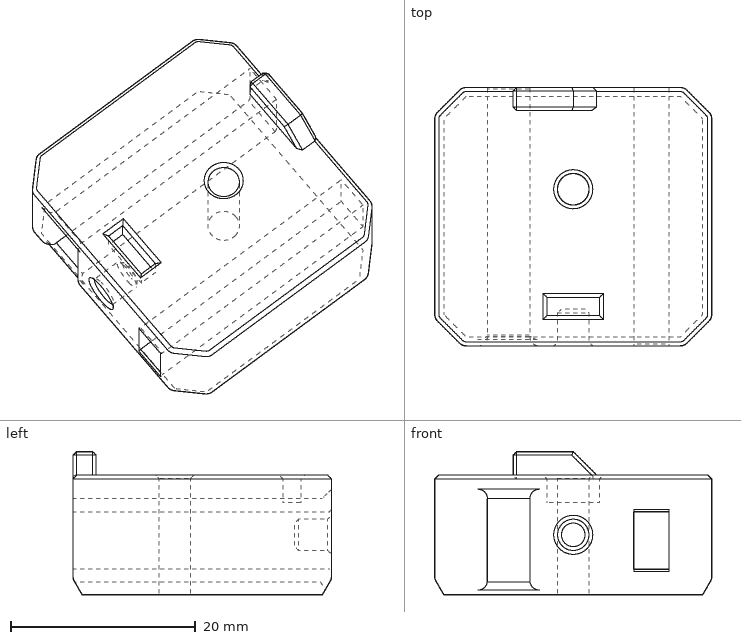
import cadquery as cq
import math

WIDTH = 30.0
DEPTH = 28.0
BODY_HEIGHT = 13.0
CORNER_CLIP = 3.0
ROUND_RADIUS = 1.02
TOP_CHAMFER = 0.45
BASE_INSET = 1.0
BASE_ANGLE = 60.0
BASE_CHAMFER_HEIGHT = BASE_INSET * math.tan(math.radians(BASE_ANGLE))
FRONT_Y = -DEPTH / 2
BACK_Y = DEPTH / 2

TOTAL_HEIGHT = 15.5
TAB_HEIGHT = TOTAL_HEIGHT - BODY_HEIGHT
TAB_LEFT_X = -6.5
TAB_RAMP_X = 0.0
TAB_THICKNESS = 2.52
TAB_CHAMFER = 0.4
TAB_ROOT = TOP_CHAMFER

WINDOW_X = -7.0
WINDOW_WIDTH = 4.6
WINDOW_Z = 5.9
WINDOW_HEIGHT = 9.0
WINDOW_FLARE = 1.02

SLOT_X = 8.45
SLOT_WIDTH = 3.78
SLOT_Z = 5.88
SLOT_HEIGHT = 6.18
SLOT_CHAMFER = 0.25

HOLE_DIAMETER = 3.4
HOLE_CHAMFER = 0.42
TOP_HOLE_Y = 2.97
FRONT_HOLE_Z = BODY_HEIGHT / 2
FRONT_HOLE_DEPTH = 4.0
POCKET_Y = -9.72
POCKET_LENGTH = 5.67
POCKET_WIDTH = 1.95
POCKET_DEPTH = 3.0
POCKET_CHAMFER = 0.45

SELECT_MARGIN = 0.05


def edges_in_box(body, center, size):
    """Edges of the body whose midpoints lie inside the given box."""
    low = [c - s / 2 for c, s in zip(center, size)]
    high = [c + s / 2 for c, s in zip(center, size)]
    return body.edges(cq.selectors.BoxSelector(low, high))


def make_body():
    """Rounded octagonal block, bevelled on top and steeply chamfered at the base."""
    body = (
        cq.Workplane("XY")
        .rect(WIDTH, DEPTH)
        .extrude(BODY_HEIGHT)
        .edges("|Z")
        .chamfer(CORNER_CLIP)
        .edges("|Z")
        .fillet(ROUND_RADIUS)
    )
    body = body.faces(">Z").chamfer(TOP_CHAMFER)
    body = body.faces("<Z").edges().chamfer(BASE_CHAMFER_HEIGHT, BASE_INSET)
    shoulder_center = (0, 0, BASE_CHAMFER_HEIGHT)
    return edges_in_box(body, shoulder_center, (2 * WIDTH, 2 * DEPTH, SELECT_MARGIN)).fillet(ROUND_RADIUS)


def make_tab():
    """Tab with a 45 degree ramp on its right, chamfered all round above its root."""
    root_z = BODY_HEIGHT - TAB_ROOT
    outline = [
        (TAB_LEFT_X, root_z),
        (TAB_LEFT_X, TOTAL_HEIGHT),
        (TAB_RAMP_X, TOTAL_HEIGHT),
        (TAB_RAMP_X + TAB_HEIGHT, BODY_HEIGHT),
        (TAB_RAMP_X + TAB_HEIGHT, root_z),
    ]
    tab = (
        cq.Workplane("XZ", origin=(0, BACK_Y, 0))
        .polyline(outline)
        .close()
        .extrude(TAB_THICKNESS)
    )
    side_rims = cq.StringSyntaxSelector("#Y exc <Z")
    top_left = cq.selectors.NearestToPointSelector((TAB_LEFT_X, BACK_Y - TAB_THICKNESS / 2, TOTAL_HEIGHT))
    return tab.edges(side_rims + top_left).chamfer(TAB_CHAMFER)


def cut_through_y(body, x, z, width, height):
    """Rectangular passage from the front face to the back face."""
    return body.cut(cq.Workplane("XY", origin=(x, 0, z)).box(width, 2 * DEPTH, height))


def cut_window(body):
    """Large window with a front mouth rounded at the sides and bevelled above and below."""
    body = cut_through_y(body, WINDOW_X, WINDOW_Z, WINDOW_WIDTH, WINDOW_HEIGHT)
    for side in (-1, 1):
        side_center = (WINDOW_X + side * WINDOW_WIDTH / 2, FRONT_Y, WINDOW_Z)
        side_rim = edges_in_box(body, side_center, (SELECT_MARGIN, BASE_INSET, WINDOW_HEIGHT))
        body = side_rim.fillet(WINDOW_FLARE)
    mouth_center = (WINDOW_X, FRONT_Y, WINDOW_Z)
    mouth_size = (WINDOW_WIDTH, BASE_INSET, WINDOW_HEIGHT + SELECT_MARGIN)
    return edges_in_box(body, mouth_center, mouth_size).edges("|X").chamfer(WINDOW_FLARE)


def cut_slot(body):
    """Small window with bevelled upper and lower front edges."""
    body = cut_through_y(body, SLOT_X, SLOT_Z, SLOT_WIDTH, SLOT_HEIGHT)
    rim_size = (SLOT_WIDTH, SELECT_MARGIN, SLOT_HEIGHT + SELECT_MARGIN)
    return edges_in_box(body, (SLOT_X, FRONT_Y, SLOT_Z), rim_size).edges("|X").chamfer(SLOT_CHAMFER)


def cut_top_hole(body):
    """Countersunk hole straight through the body from the top."""
    top = cq.Workplane("XY", origin=(0, TOP_HOLE_Y, BODY_HEIGHT))
    body = body.cut(top.circle(HOLE_DIAMETER / 2).extrude(-BODY_HEIGHT))
    rim_size = (2 * HOLE_DIAMETER, 2 * HOLE_DIAMETER, SELECT_MARGIN)
    return edges_in_box(body, (0, TOP_HOLE_Y, BODY_HEIGHT), rim_size).chamfer(HOLE_CHAMFER)


def cut_front_hole(body):
    """Blind countersunk hole in the front with a bevelled floor."""
    front = cq.Workplane("XZ", origin=(0, FRONT_Y, FRONT_HOLE_Z))
    bore = front.circle(HOLE_DIAMETER / 2).extrude(-FRONT_HOLE_DEPTH)
    body = body.cut(bore.faces(">Y").chamfer(HOLE_CHAMFER))
    rim_size = (2 * HOLE_DIAMETER, SELECT_MARGIN, 2 * HOLE_DIAMETER)
    return edges_in_box(body, (0, FRONT_Y, FRONT_HOLE_Z), rim_size).chamfer(HOLE_CHAMFER)


def cut_pocket(body):
    """Blind rectangular pocket in the top with a bevelled rim."""
    top = cq.Workplane("XY", origin=(0, POCKET_Y, BODY_HEIGHT))
    body = body.cut(top.rect(POCKET_LENGTH, POCKET_WIDTH).extrude(-POCKET_DEPTH))
    rim_size = (POCKET_LENGTH + SELECT_MARGIN, POCKET_WIDTH + SELECT_MARGIN, SELECT_MARGIN)
    return edges_in_box(body, (0, POCKET_Y, BODY_HEIGHT), rim_size).chamfer(POCKET_CHAMFER)


result = make_body()
for cut_feature in (cut_window, cut_slot, cut_top_hole, cut_front_hole, cut_pocket):
    result = cut_feature(result)
result = result.union(make_tab())